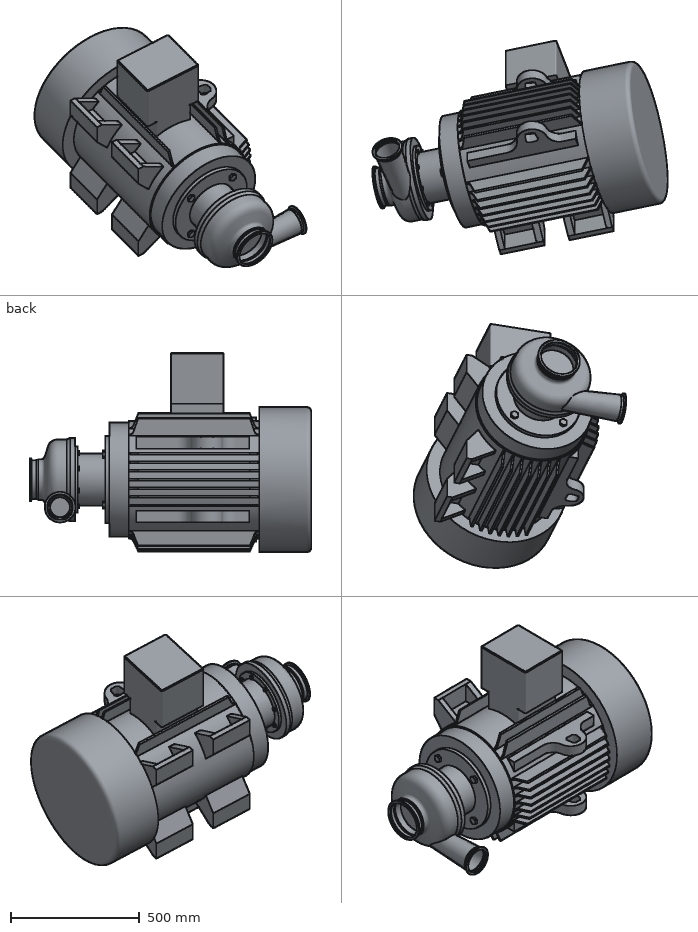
import cadquery as cq
import math


cover_end, cover_dia, cover_round = 202.0, 565.0, 19.0
frame_end, frame_dia = 709.0, 457.0
bell_end, bell_dia = 785.0, 444.0
flange_end, flange_dia = 801.0, 340.0
neck_end, neck_dia = 907.0, 204.0
frame_radius = frame_dia / 2

fin_tip_radius = 280.0
fin_thickness = 8.0
fins_per_group = 7
fin_spread_bottom, fin_spread_side = 110.0, 101.0
fin_top_offsets = (-110.0, 112.0, 148.0)
fin_toe = (18.0, 10.0)
fin_end_inset = 37.0
fin_embed = 11.0

foot_length = 178.0
foot_starts = (214.0, 492.0)
foot_face_y = -254.0
foot_top_z = 242.0
foot_land = 23.0
foot_floor_z = 160.0
foot_root_z = 100.0
foot_root_y = -math.sqrt(frame_radius ** 2 - foot_root_z ** 2)
foot_slope = 31
foot_web_outer, foot_web_inner = 23.0, 27.0
foot_inner_y = -120.0

lug_bottom_z, lug_thickness = 120.0, 46.0
lug_start, lug_end = 242.0, 679.0
lug_inner_y, lug_outer_y = 158.0, 195.0
ear_x, ear_y, ear_radius, ear_fillet = 406.0, 232.0, 60.0, 55.0
ear_hole_bottom, ear_hole_top = 224.0, 271.0
ear_hole_bottom_width, ear_hole_top_width, ear_hole_round = 53.0, 38.0, 13.0

box_x, box_length, box_width = 443.0, 206.0, 245.0
box_bottom, box_top = 294.0, 492.0
box_edge_round, box_lid_bevel = 5.0, 3.0
pedestal_width = 166.0
pedestal_base_z = 164.0

flange_bolt_offset, flange_bolt_size, flange_bolt_height = 98.0, 31.0, 10.0
pump_bolt_count, pump_bolt_circle, pump_bolt_dia, pump_bolt_height = 8, 223.0, 16.0, 5.0

adapter_end, adapter_dia = 918.0, 258.0
rim_end, rim_dia = 937.0, 325.0
casing_start, casing_end, casing_radius = 951.0, 986.0, 156.0
shoulder_round, shoulder_sweep = 39.0, 72
suction_fillet = 13.0

suction_dia, suction_step_dia, suction_groove_dia = 159.0, 154.0, 152.0
suction_step, suction_groove = 1061.0, 1069.0
ferrule_dia, ferrule_start, ferrule_rim, suction_end = 167.0, 1085.0, 1089.0, 1094.0
suction_bore_dia, suction_bore_end = 147.0, 1035.0

outlet_x, outlet_z = 976.0, -107.0
outlet_root_dia, outlet_shoulder_dia = 81.0, 105.0
outlet_dia, outlet_flange_dia, outlet_bore_dia = 102.0, 119.0, 97.0
outlet_collar_y, outlet_flange_y, outlet_rim_y, outlet_end_y = 270.0, 280.0, 285.0, 288.0
outlet_wall = (outlet_dia - outlet_bore_dia) / 2
outlet_root_bore_dia = outlet_root_dia - 2 * outlet_wall


def x_cylinder(start, end, diameter):
    return cq.Workplane("YZ").workplane(offset=start).circle(diameter / 2).extrude(end - start)


def arc_drop(radius, angle):
    """Run along X and drop away from it, for an arc that starts parallel to X and turns by an angle."""
    return radius * math.sin(angle), radius * (1 - math.cos(angle))


def make_drum():
    drum = x_cylinder(0, cover_end, cover_dia).faces("<X").edges().fillet(cover_round)
    sections = (
        (cover_end, frame_end, frame_dia),
        (frame_end, bell_end, bell_dia),
        (bell_end, flange_end, flange_dia),
        (flange_end, neck_end, neck_dia),
    )
    for start, end, diameter in sections:
        drum = drum.union(x_cylinder(start, end, diameter))
    return drum


def make_fin(offset):
    """Fin on top of the frame, standing at Y = offset, with flared toes at both ends."""
    root = math.sqrt(frame_radius ** 2 - offset ** 2)
    inner_offset = max(abs(offset) - fin_thickness / 2, 0)
    tip = math.sqrt(fin_tip_radius ** 2 - inner_offset ** 2)
    toe_run, toe_rise = fin_toe
    toe_radius = (toe_run ** 2 + toe_rise ** 2) / (2 * toe_rise)
    bend_run, bend_rise = arc_drop(toe_radius, math.asin(toe_run / toe_radius) / 2)
    base = root - fin_embed
    plate = (
        cq.Workplane("XZ", origin=(0, offset + fin_thickness / 2, 0))
        .moveTo(cover_end, base)
        .lineTo(cover_end, root)
        .threePointArc((cover_end + bend_run, root + bend_rise), (cover_end + toe_run, root + toe_rise))
        .lineTo(cover_end + fin_end_inset, tip)
        .lineTo(frame_end - fin_end_inset, tip)
        .lineTo(frame_end - toe_run, root + toe_rise)
        .threePointArc((frame_end - bend_run, root + bend_rise), (frame_end, root))
        .lineTo(frame_end, base)
        .close()
        .extrude(fin_thickness)
    )
    return plate.intersect(x_cylinder(cover_end, frame_end, 2 * fin_tip_radius))


def make_fins():
    fins = cq.Workplane()
    for offset in fin_top_offsets:
        fins = fins.add(make_fin(offset))
    middle = (fins_per_group - 1) / 2
    for spread, turn in ((fin_spread_bottom, 180), (fin_spread_side, -90)):
        for index in range(fins_per_group):
            fin = make_fin(spread * (index - middle) / middle)
            fins = fins.add(fin.rotate((0, 0, 0), (1, 0, 0), turn))
    return fins.combine()


def make_foot(start, web_before, web_after):
    """Upper foot: a gusset with a pocket open at the top, between two webs and a front plate."""
    land_y = foot_face_y + foot_land
    inner_top_z = foot_top_z - (foot_inner_y - land_y) * math.tan(math.radians(foot_slope))
    block = (
        cq.Workplane("YZ", origin=(start, 0, 0))
        .polyline([
            (foot_face_y, foot_floor_z),
            (foot_face_y, foot_top_z),
            (land_y, foot_top_z),
            (foot_inner_y, inner_top_z),
            (foot_inner_y, foot_root_z),
            (foot_root_y, foot_root_z),
        ])
        .close()
        .extrude(foot_length)
    )
    pocket = cq.Workplane("XY", origin=(start + web_before, land_y, foot_floor_z)).box(
        foot_length - web_before - web_after,
        foot_inner_y - land_y,
        foot_top_z - foot_floor_z,
        centered=False,
    )
    return block.cut(pocket)


def make_feet():
    """The pockets of the two feet mirror each other along X."""
    first = make_foot(foot_starts[0], foot_web_outer, foot_web_inner)
    second = make_foot(foot_starts[1], foot_web_inner, foot_web_outer)
    upper = first.union(second)
    return upper.union(upper.mirror("XY"))


def make_lugs():
    """Two bars, each with a rounded, pierced ear blended into it by two concave arcs."""
    blend_y = lug_outer_y + ear_fillet
    reach = ear_radius + ear_fillet
    blend_dx = math.sqrt(reach ** 2 - (blend_y - ear_y) ** 2)
    touch_dx = blend_dx * ear_radius / reach
    touch_y = ear_y + (blend_y - ear_y) * ear_radius / reach
    blend_sweep = math.acos((blend_y - touch_y) / ear_fillet)
    mid_run, mid_rise = arc_drop(ear_fillet, blend_sweep / 2)
    mid_dx = blend_dx - mid_run
    mid_y = lug_outer_y + mid_rise
    lug = (
        cq.Workplane("XY", origin=(0, 0, lug_bottom_z))
        .moveTo(lug_start, lug_inner_y)
        .lineTo(lug_start, lug_outer_y)
        .lineTo(ear_x - blend_dx, lug_outer_y)
        .threePointArc((ear_x - mid_dx, mid_y), (ear_x - touch_dx, touch_y))
        .threePointArc((ear_x, ear_y + ear_radius), (ear_x + touch_dx, touch_y))
        .threePointArc((ear_x + mid_dx, mid_y), (ear_x + blend_dx, lug_outer_y))
        .lineTo(lug_end, lug_outer_y)
        .lineTo(lug_end, lug_inner_y)
        .close()
        .extrude(lug_thickness)
    )
    hole = (
        cq.Workplane("XY", origin=(ear_x, 0, lug_bottom_z))
        .polyline([
            (-ear_hole_bottom_width / 2, ear_hole_bottom),
            (ear_hole_bottom_width / 2, ear_hole_bottom),
            (ear_hole_top_width / 2, ear_hole_top),
            (-ear_hole_top_width / 2, ear_hole_top),
        ])
        .close()
        .extrude(lug_thickness)
        .edges("|Z")
        .fillet(ear_hole_round)
    )
    lug = lug.cut(hole)
    return lug.union(lug.mirror("XY"))


def make_terminal_box():
    box = (
        cq.Workplane("XY", origin=(box_x, 0, box_bottom))
        .rect(box_length, box_width)
        .extrude(box_top - box_bottom)
        .edges("|Z")
        .fillet(box_edge_round)
        .faces(">Z")
        .edges()
        .chamfer(box_lid_bevel)
    )
    pedestal = (
        cq.Workplane("XY", origin=(box_x, 0, pedestal_base_z))
        .rect(box_length, pedestal_width)
        .extrude(box_bottom - pedestal_base_z)
        .edges("|Z")
        .fillet(box_edge_round)
    )
    return box.union(pedestal)


def make_bolts():
    spacing = 2 * flange_bolt_offset
    flange_bolts = (
        cq.Workplane("YZ", origin=(flange_end, 0, 0))
        .transformed(rotate=(0, 0, 90))
        .rect(spacing, spacing, forConstruction=True)
        .vertices()
        .polygon(6, flange_bolt_size)
        .extrude(flange_bolt_height)
    )
    pump_bolts = (
        cq.Workplane("YZ", origin=(neck_end - pump_bolt_height, 0, 0))
        .polarArray(pump_bolt_circle / 2, 180 / pump_bolt_count, 360, pump_bolt_count)
        .circle(pump_bolt_dia / 2)
        .extrude(pump_bolt_height)
    )
    return flange_bolts.union(pump_bolts)


def make_casing():
    """Turned casing and suction pipe, bored from the suction end."""
    suction_radius = suction_dia / 2
    sweep = math.radians(shoulder_sweep)

    mid_run, mid_drop = arc_drop(shoulder_round, sweep / 2)
    run, drop = arc_drop(shoulder_round, sweep)
    fillet_mid_run, fillet_mid_rise = arc_drop(suction_fillet, sweep / 2)
    fillet_run, fillet_rise = arc_drop(suction_fillet, sweep)
    cone_drop = casing_radius - drop - suction_radius - fillet_rise
    suction_start = casing_end + run + cone_drop / math.tan(sweep) + fillet_run

    return (
        cq.Workplane("XY")
        .moveTo(neck_end, 0)
        .lineTo(neck_end, adapter_dia / 2)
        .lineTo(adapter_end, adapter_dia / 2)
        .lineTo(adapter_end, rim_dia / 2)
        .lineTo(rim_end, rim_dia / 2)
        .lineTo(casing_start, casing_radius)
        .lineTo(casing_end, casing_radius)
        .threePointArc(
            (casing_end + mid_run, casing_radius - mid_drop),
            (casing_end + run, casing_radius - drop),
        )
        .lineTo(suction_start - fillet_run, suction_radius + fillet_rise)
        .threePointArc(
            (suction_start - fillet_mid_run, suction_radius + fillet_mid_rise),
            (suction_start, suction_radius),
        )
        .lineTo(suction_step, suction_radius)
        .lineTo(suction_step, suction_step_dia / 2)
        .lineTo(suction_groove, suction_step_dia / 2)
        .lineTo(suction_groove, suction_groove_dia / 2)
        .lineTo(ferrule_start, suction_groove_dia / 2)
        .lineTo(ferrule_rim, ferrule_dia / 2)
        .lineTo(suction_end, ferrule_dia / 2)
        .lineTo(suction_end, suction_bore_dia / 2)
        .lineTo(suction_bore_end, suction_bore_dia / 2)
        .lineTo(suction_bore_end, 0)
        .close()
        .revolve(360, (0, 0, 0), (1, 0, 0))
    )


def turn_about_outlet(profile):
    """Solid turned about the discharge axis from (radius, Y) points."""
    outline = [(0, 0)] + profile + [(0, outlet_end_y)]
    solid = cq.Workplane("XY").polyline(outline).close().revolve(360, (0, 0, 0), (0, 1, 0))
    return solid.translate((outlet_x, 0, outlet_z))


def make_outlet():
    return turn_about_outlet([
        (outlet_root_dia / 2, 0),
        (outlet_shoulder_dia / 2, outlet_collar_y),
        (outlet_dia / 2, outlet_collar_y),
        (outlet_dia / 2, outlet_flange_y),
        (outlet_flange_dia / 2, outlet_rim_y),
        (outlet_flange_dia / 2, outlet_end_y),
    ])


def make_outlet_bore():
    return turn_about_outlet([
        (outlet_root_bore_dia / 2, 0),
        (outlet_bore_dia / 2, outlet_collar_y),
        (outlet_bore_dia / 2, outlet_end_y),
    ])


result = (
    make_drum()
    .union(make_fins())
    .union(make_feet())
    .union(make_lugs())
    .union(make_terminal_box())
    .union(make_bolts())
    .union(make_casing())
    .union(make_outlet())
    .cut(make_outlet_bore())
)